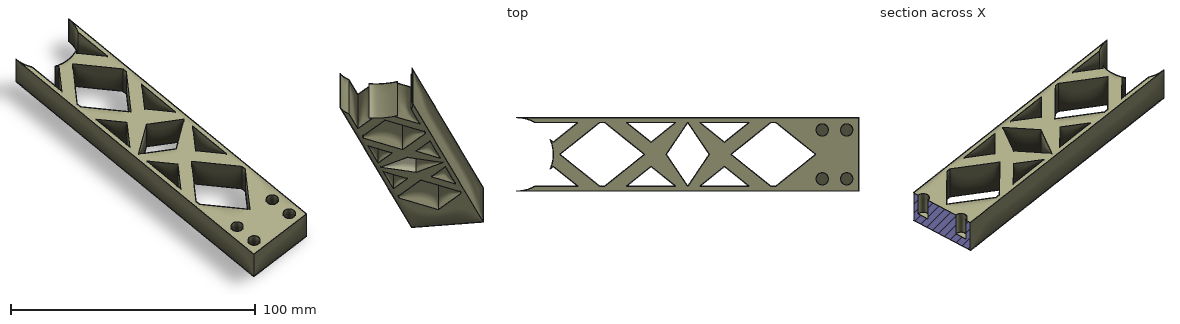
import cadquery as cq

length = 140.0
width = 30.0
height = 15.0
middle_x = length / 2
side_wall = 2.0
opening_half_width = width / 2 - side_wall

seat_radius = width / 2

triangle_offset = 15.0
triangle_apex_xs = [seat_radius, middle_x - triangle_offset, middle_x + triangle_offset]
triangle_half_base = 10.0
triangle_apex_y = 5.0
strut_slope = (opening_half_width - triangle_apex_y) / triangle_half_base

large_diamond_offset = 35.0
large_diamond_half_length = 17.25
large_diamond_half_width = large_diamond_half_length * strut_slope
small_diamond_half_length = 8.75
small_diamond_half_width = opening_half_width

hole_diameter = 5.0
hole_depth = 10.0
hole_end_distance = 5.0
hole_pitch_x = 10.0
hole_pitch_y = 20.0


def prism(points):
    """Full-height prism over a closed outline."""
    return cq.Workplane("XY").polyline(points).close().extrude(height)


def wall_triangle(apex_x, side):
    """Triangular opening; side is +1 for the +Y wall and -1 for the -Y wall."""
    base_y = side * opening_half_width
    return prism([
        (apex_x - triangle_half_base, base_y),
        (apex_x + triangle_half_base, base_y),
        (apex_x, side * triangle_apex_y),
    ])


def diamond(center_x, half_length, half_width):
    """Diamond opening, limited to the space between the side walls."""
    outline = prism([
        (center_x - half_length, 0),
        (center_x, half_width),
        (center_x + half_length, 0),
        (center_x, -half_width),
    ])
    between_walls = (
        cq.Workplane("XY")
        .center(center_x, 0)
        .rect(2 * half_length, 2 * opening_half_width)
        .extrude(height)
    )
    return outline.intersect(between_walls)


def mounting_holes():
    """Two by two pattern of blind holes, drilled from the top face."""
    pattern_x = length - hole_end_distance - hole_pitch_x / 2
    return (
        cq.Workplane("XY", origin=(pattern_x, 0, height))
        .rarray(hole_pitch_x, hole_pitch_y, 2, 2)
        .circle(hole_diameter / 2)
        .extrude(-hole_depth)
    )


result = cq.Workplane("XY").box(length, width, height, centered=(False, True, False))
result = result.cut(cq.Workplane("XY").circle(seat_radius).extrude(height))

for apex_x in triangle_apex_xs:
    for side in (1, -1):
        result = result.cut(wall_triangle(apex_x, side))

for direction in (-1, 1):
    center_x = middle_x + direction * large_diamond_offset
    result = result.cut(diamond(center_x, large_diamond_half_length, large_diamond_half_width))

result = result.cut(diamond(middle_x, small_diamond_half_length, small_diamond_half_width))
result = result.cut(mounting_holes())